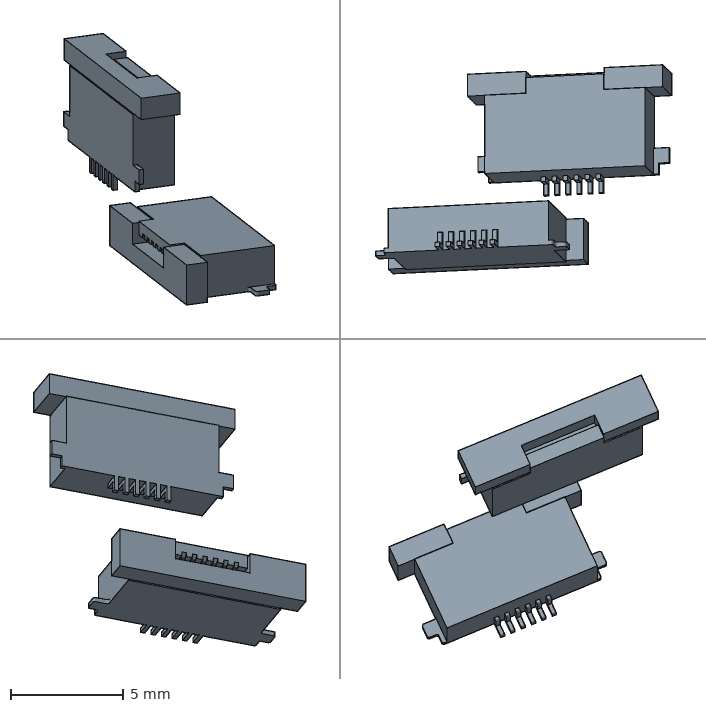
import cadquery as cq


housing_width = 7.3
housing_length = 3.58
housing_height = 2.01
slider_width = 8.9
slider_depth = 1.0
slider_inset = 0.06

notch_width = 3.56
lip_setback = 0.3
lip_thickness = 0.65
slot_height = 0.39

tail_count = 6
tail_pitch = 0.5
tail_width = 0.2
tail_thickness = 0.21
tail_reach = 0.72
tail_height = 0.79
tail_toe_radius = 0.06
tail_shoulder_radius = 0.11

contact_rise = 0.19
contact_drop = 0.08
contact_face_run = 0.14
contact_nose_run = 0.09
contact_knee_drop = 0.03

tab_thickness = 0.21
tab_length = 1.7
tab_inset = 1.0
tab_step_out = 0.21
tab_step_length = 0.5
tab_wing_out = 0.7
tab_wing_length = 0.69
tab_radius = 0.1

overall_width = 12.55
standing_shift_x = slider_width - overall_width
standing_mount_y = -0.73
standing_top_z = 8.72

housing_back = slider_depth + housing_length
lip_underside = housing_height - lip_thickness
slot_floor = lip_underside - slot_height
tail_positions = [(i - (tail_count - 1) / 2) * tail_pitch for i in range(tail_count)]


def block(width, y_start, y_end, z_start, z_end):
    """Box centred on X = 0 between the given Y and Z limits."""
    corner = (-width / 2, y_start, z_start)
    return cq.Workplane().box(width, y_end - y_start, z_end - z_start, centered=False).translate(corner)


def strip(profile, x_centre):
    """Bar of tail width with a (Y, Z) profile, centred on x_centre."""
    outline = cq.Workplane("YZ", origin=(x_centre, 0, 0)).polyline(profile).close()
    return outline.extrude(tail_width / 2, both=True)


def make_slider():
    bar = block(slider_width, 0, slider_depth, slider_inset, housing_height - slider_inset)
    notch = block(notch_width, 0, slider_depth, slot_floor, housing_height)
    return bar.cut(notch)


def make_housing():
    body = block(housing_width, slider_depth, housing_back, 0, housing_height)
    lip = block(notch_width, lip_setback, slider_depth, lip_underside, housing_height)
    return body.union(lip)


def make_tail(x_centre, rounded):
    """L-shaped tail: a foot on the mounting plane and a leg up the back of the housing."""
    leg_back = housing_back + tail_thickness
    tail_end = housing_back + tail_reach
    profile = [
        (housing_back, 0),
        (tail_end, 0),
        (tail_end, tail_thickness),
        (leg_back, tail_thickness),
        (leg_back, tail_height),
        (housing_back, tail_height),
    ]
    tail = strip(profile, x_centre)
    if rounded:
        toe = cq.selectors.NearestToPointSelector((x_centre, tail_end, tail_thickness))
        shoulder = cq.selectors.NearestToPointSelector((x_centre, leg_back, tail_height))
        tail = tail.edges("|X").edges(toe).fillet(tail_toe_radius)
        tail = tail.edges("|X").edges(shoulder).fillet(tail_shoulder_radius)
    return tail


def make_contact(x_centre):
    """Contact set in the lip, with a sloping face that ends in a nose under the lip."""
    knee_y = lip_setback + contact_face_run
    nose_z = lip_underside - contact_drop
    profile = [
        (lip_setback, lip_underside + contact_rise),
        (knee_y, lip_underside - contact_knee_drop),
        (knee_y + contact_nose_run, nose_z),
        (slider_depth, nose_z),
        (slider_depth, lip_underside + contact_rise),
    ]
    return strip(profile, x_centre)


def make_contact_groove(x_centre):
    """Groove in the underside of the lip that holds one contact."""
    groove = block(tail_width, lip_setback, slider_depth, lip_underside, lip_underside + contact_rise)
    return groove.translate((x_centre, 0, 0))


def make_tab(side, rounded):
    """Flat anchor tab, flush with the mounting face; side is +1 or -1 along X."""
    inner = housing_width / 2 - tab_inset
    flush = housing_width / 2
    step = flush + tab_step_out
    wing = flush + tab_wing_out
    front = housing_back - tab_length
    wing_back = housing_back - tab_step_length
    wing_front = wing_back - tab_wing_length
    outline = [
        (inner, front),
        (flush, front),
        (flush, wing_front),
        (wing, wing_front),
        (wing, wing_back),
        (step, wing_back),
        (step, housing_back),
        (inner, housing_back),
    ]
    tab = cq.Workplane().polyline([(side * x, y) for x, y in outline]).close().extrude(tab_thickness)
    if rounded:
        for corner_x, corner_y in outline[2:7]:
            corner = cq.selectors.NearestToPointSelector((side * corner_x, corner_y, tab_thickness / 2))
            tab = tab.edges("|Z").edges(corner).fillet(tab_radius)
    return tab


def add_metalwork(housing, rounded):
    """Join tails and recessed tabs to a housing, keeping their outlines on its flush faces."""
    for x_centre in tail_positions:
        housing = housing.union(make_tail(x_centre, rounded), clean=False)
    for side in (-1, 1):
        tab = make_tab(side, rounded)
        housing = housing.cut(tab, clean=False).union(tab, clean=False)
    return housing


lying_slider = make_slider()
lying_housing = make_housing()
for contact_x in tail_positions:
    lying_housing = lying_housing.cut(make_contact_groove(contact_x))
    lying_housing = lying_housing.union(make_contact(contact_x))
lying_housing = add_metalwork(lying_housing, rounded=True)

standing_connector = add_metalwork(make_housing().union(make_slider()), rounded=False)
standing_connector = standing_connector.rotate((0, 0, 0), (1, 0, 0), -90)
standing_connector = standing_connector.translate((standing_shift_x, standing_mount_y, standing_top_z))

result = cq.Compound.makeCompound([
    lying_housing.solids().val(),
    lying_slider.solids().val(),
    standing_connector.solids().val(),
])